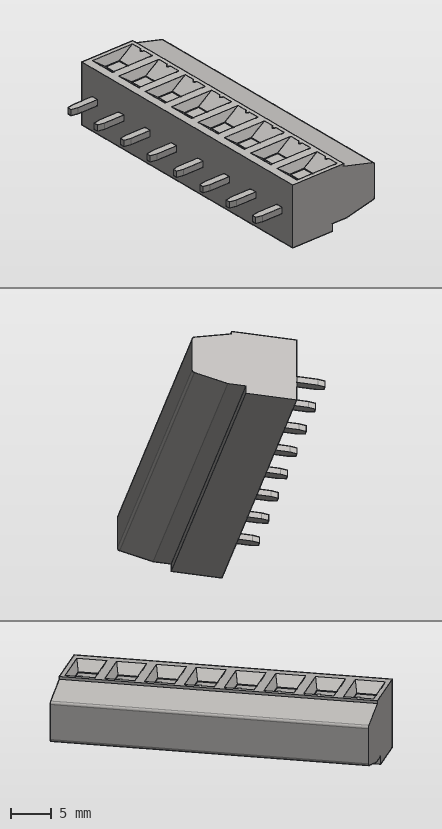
import cadquery as cq

poles = 8
length = 40.0
pitch = length / poles
height = 8.9
depth = 13.15
back_corner_radius = 0.35

top_land_depth = 8.2
top_step_drop = 0.35
back_top_z = 7.25
back_bottom_z = 2.1
foot_depth = 6.4
foot_height = 1.1
underside_flat_end = 8.7

mouth_width = 3.75
mouth_front_y = 1.2
mouth_back_y = 7.65
floor_width = 2.7
floor_front_y = 2.8
floor_back_y = 5.1
taper_depth = 1.15
pocket_depth = 1.3
rib_radius = 0.3

pin_width = 1.0
pin_thickness = 0.9
pin_length = 4.1
pin_tip_length = 0.95
pin_tip_width = 0.6
pin_z = height / 2


def make_housing():
    profile = [
        (0, 0),
        (foot_depth, 0),
        (foot_depth, foot_height),
        (underside_flat_end, foot_height),
        (depth, back_bottom_z),
        (depth, back_top_z),
        (top_land_depth, height - top_step_drop),
        (top_land_depth, height),
        (0, height),
    ]
    housing = cq.Workplane("YZ").polyline(profile).close().extrude(length)
    return housing.faces(">Y").edges("|X").fillet(back_corner_radius)


def make_pocket(center_x):
    mouth_depth = mouth_back_y - mouth_front_y
    mouth_center_y = (mouth_front_y + mouth_back_y) / 2
    floor_size_y = floor_back_y - floor_front_y
    floor_center_y = (floor_front_y + floor_back_y) / 2
    taper = (
        cq.Workplane("XY", origin=(center_x, mouth_center_y, height))
        .rect(mouth_width, mouth_depth)
        .workplane(offset=-taper_depth)
        .center(0, floor_center_y - mouth_center_y)
        .rect(floor_width, floor_size_y)
        .loft(ruled=True)
    )
    well = (
        cq.Workplane("XY", origin=(center_x, floor_center_y, height - pocket_depth))
        .rect(floor_width, floor_size_y)
        .extrude(pocket_depth)
    )
    rib = (
        cq.Workplane("XY", origin=(center_x, mouth_back_y, height - pocket_depth))
        .circle(rib_radius)
        .extrude(pocket_depth)
    )
    return taper.union(well).cut(rib)


def make_pin(center_x):
    half_width = pin_width / 2
    half_tip = pin_tip_width / 2
    shoulder_y = pin_tip_length - pin_length
    outline = [
        (-half_width, 0),
        (-half_width, shoulder_y),
        (-half_tip, -pin_length),
        (half_tip, -pin_length),
        (half_width, shoulder_y),
        (half_width, 0),
    ]
    return (
        cq.Workplane("XY", origin=(center_x, 0, pin_z - pin_thickness / 2))
        .polyline(outline)
        .close()
        .extrude(pin_thickness)
    )


result = make_housing()
for pole in range(poles):
    pole_x = (pole + 0.5) * pitch
    result = result.cut(make_pocket(pole_x))
    result = result.union(make_pin(pole_x))